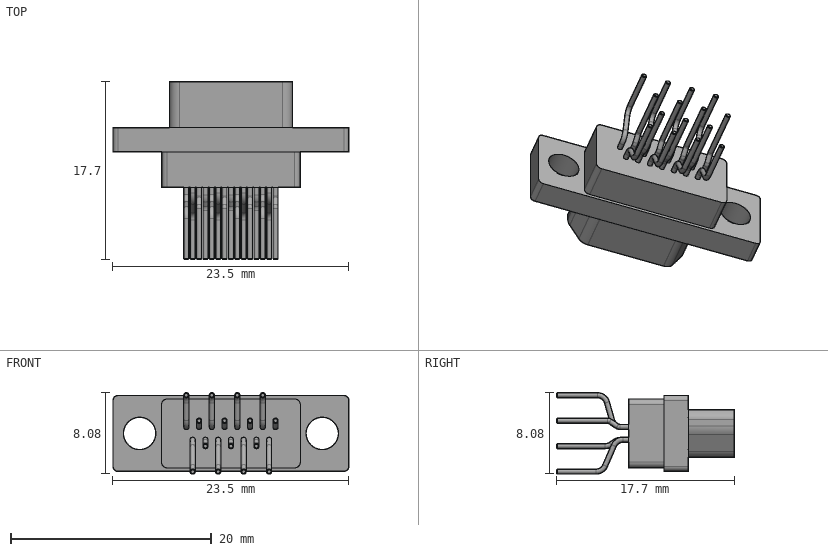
import cadquery as cq
import math


flange_width = 23.5
flange_height = 7.57
flange_thickness = 2.42
flange_corner_radius = 0.5
mounting_hole_diameter = 3.2
mounting_hole_spacing = 18.2

body_width = 13.82
body_height = 6.86
body_depth = 3.52
body_corner_radius = 0.56

shell_width = 12.27
shell_height = 4.75
shell_depth = 4.58
shell_straight_side = 2.07
shell_side_slope = 29.0
shell_top_radius = 1.0
shell_side_radius = 1.75
shell_bottom_radius = 1.08

pin_diameter = 0.52
pin_length = 7.17
pin_pitch = 0.63
pin_tip_chamfer = 0.07
pin_count = 15
wide_bend = 0.99
tight_bend = 0.5

pin_shapes = [
    (1, 6, 0.7, 3.1, wide_bend),
    (-1, -6, 0.56, 3.25, wide_bend),
    (1, 2, 0.85, 2.12, tight_bend),
    (-1, -2, 0.78, 2.33, wide_bend),
]


def rounded_block(width, height, depth, corner_radius, back_y):
    """Block running from back_y toward -Y, with its four corners along Y rounded."""
    return (
        cq.Workplane("XZ", origin=(0, back_y, 0))
        .rect(width, height)
        .extrude(depth)
        .edges("|Y")
        .fillet(corner_radius)
    )


def make_flange():
    flange = rounded_block(
        flange_width, flange_height, flange_thickness, flange_corner_radius, flange_thickness
    )
    return (
        flange.faces("<Y")
        .workplane(centerOption="CenterOfBoundBox")
        .rarray(mounting_hole_spacing, 0.24, 2, 1)
        .hole(mounting_hole_diameter)
    )


def make_shell():
    """D-shaped shell: upright upper sides and lower sides sloping in to a narrower bottom."""
    top = shell_height / 2
    half_top = shell_width / 2
    slope_height = shell_height - shell_straight_side
    half_bottom = half_top - slope_height * math.tan(math.radians(shell_side_slope))
    outline = [
        (-half_top, top),
        (half_top, top),
        (half_top, top - shell_straight_side),
        (half_bottom, -top),
        (-half_bottom, -top),
        (-half_top, top - shell_straight_side),
    ]
    return (
        cq.Workplane("XZ", origin=(0, flange_thickness + shell_depth, 0))
        .polyline(outline)
        .close()
        .extrude(shell_depth)
        .edges("|Y and (not >Z) and (not <Z)")
        .fillet(shell_side_radius)
        .edges("|Y and >Z")
        .fillet(shell_top_radius)
        .edges("|Y and <Z")
        .fillet(shell_bottom_radius)
    )


def make_pin(x, root_row, tip_row, bend_start, bend_end, radius):
    """Round pin stepping from its root row to its tip row through two equal, opposite bends."""
    root_z = root_row * pin_pitch
    tip_z = tip_row * pin_pitch
    direction = math.copysign(1, tip_z - root_z)

    run = bend_end - bend_start
    centre_rise = abs(tip_z - root_z) - 2 * radius
    slope_length = math.sqrt(run**2 + centre_rise**2 - (2 * radius) ** 2)
    angle = math.atan2(centre_rise, run) + math.atan2(2 * radius, slope_length)

    def bend_offset(turn):
        return radius * math.sin(turn), direction * radius * (1 - math.cos(turn))

    mid_out, mid_rise = bend_offset(angle / 2)
    full_out, full_rise = bend_offset(angle)

    def at(distance, z):
        return (-body_depth - distance, z)

    path = (
        cq.Workplane("YZ", origin=(x, 0, 0))
        .moveTo(*at(0, root_z))
        .lineTo(*at(bend_start, root_z))
        .threePointArc(
            at(bend_start + mid_out, root_z + mid_rise),
            at(bend_start + full_out, root_z + full_rise),
        )
        .lineTo(*at(bend_end - full_out, tip_z - full_rise))
        .threePointArc(at(bend_end - mid_out, tip_z - mid_rise), at(bend_end, tip_z))
        .lineTo(*at(pin_length, tip_z))
    )
    return (
        cq.Workplane("XZ", origin=(x, -body_depth, root_z))
        .circle(pin_diameter / 2)
        .sweep(path)
        .faces("<Y")
        .chamfer(pin_tip_chamfer)
    )


result = make_flange()
result = result.union(rounded_block(body_width, body_height, body_depth, body_corner_radius, 0))
result = result.union(make_shell())
for index in range(pin_count):
    pin_x = (index - (pin_count - 1) / 2) * pin_pitch
    result = result.union(make_pin(pin_x, *pin_shapes[index % len(pin_shapes)]))